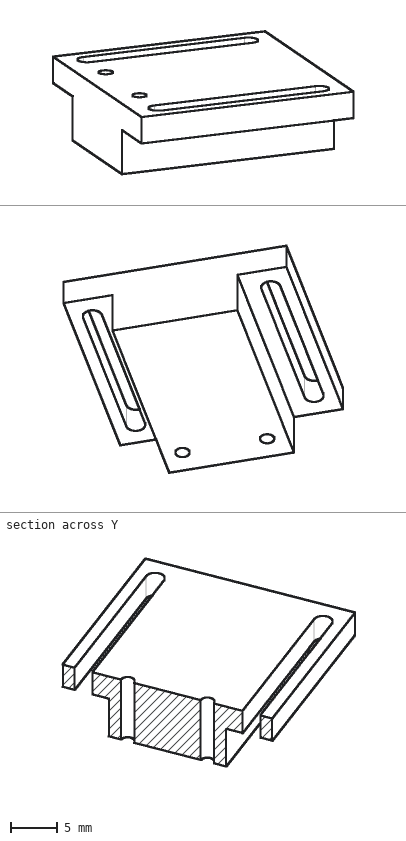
import cadquery as cq

plate_side = 25.0
plate_thickness = 3.0

block_width = 14.0
block_height = 5.0

slot_travel = 19.0
slot_width = 2.1
slot_spacing = 20.0

hole_diameter = 1.55
hole_spacing = 9.5
hole_edge_distance = 3.0

total_height = plate_thickness + block_height


def make_body():
    """T-shaped body: square plate on top of a narrower block, resting on Z = 0."""
    on_base = (True, True, False)
    block = cq.Workplane("XY").box(block_width, plate_side, block_height, centered=on_base)
    plate = (
        cq.Workplane("XY")
        .workplane(offset=block_height)
        .box(plate_side, plate_side, plate_thickness, centered=on_base)
    )
    return plate.union(block)


def make_slots():
    """Cutters for the two round-ended slots, one on each side of the block."""
    slot_x = slot_spacing / 2
    return (
        cq.Workplane("XY")
        .workplane(offset=block_height)
        .pushPoints([(-slot_x, 0), (slot_x, 0)])
        .slot2D(slot_travel + slot_width, slot_width, angle=90)
        .extrude(plate_thickness)
    )


def make_holes():
    """Cutters for the two vertical through holes."""
    hole_x = hole_spacing / 2
    hole_y = hole_edge_distance - plate_side / 2
    return (
        cq.Workplane("XY")
        .pushPoints([(-hole_x, hole_y), (hole_x, hole_y)])
        .circle(hole_diameter / 2)
        .extrude(total_height)
    )


result = make_body().cut(make_slots()).cut(make_holes())